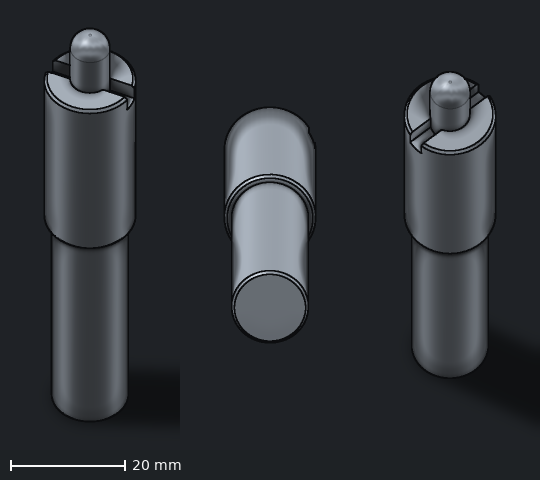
import cadquery as cq

total_height = 91.0
shank_diameter = 13.5
shank_height = 45.0
head_diameter = 16.0
pin_diameter = 7.0
pin_exposed_height = 11.0
tip_radius = 3.3
edge_chamfer = 0.5
slot_width = 3.0
slot_depth = 3.0

head_top = total_height - pin_exposed_height
head_height = head_top - shank_height
slot_floor = head_top - slot_depth
pin_length = total_height - slot_floor


def make_shank():
    """Slim lower cylinder with a chamfered bottom rim."""
    shank = cq.Workplane("XY").circle(shank_diameter / 2).extrude(shank_height)
    return shank.faces("<Z").edges().chamfer(edge_chamfer)


def make_head():
    """Wider upper cylinder with both rims chamfered."""
    head = cq.Workplane("XY").workplane(offset=shank_height).circle(head_diameter / 2).extrude(head_height)
    return head.faces("<Z or >Z").edges().chamfer(edge_chamfer)


def make_slot_cutter():
    """Screwdriver slot running across the whole head along X."""
    slot = cq.Workplane("XY").workplane(offset=slot_floor)
    return slot.rect(head_diameter, slot_width).extrude(slot_depth)


def make_pin_recess_cutter():
    """Blind round recess, level with the slot floor, that seats the pin."""
    recess = cq.Workplane("XY").workplane(offset=slot_floor)
    return recess.circle(pin_diameter / 2).extrude(slot_depth)


def make_sleeve():
    """Stepped sleeve: shank and head in one piece, slotted and recessed on top."""
    body = make_shank().union(make_head())
    return body.cut(make_slot_cutter()).cut(make_pin_recess_cutter())


def make_pin():
    """Round pin standing on the recess floor, with a rounded tip."""
    pin = cq.Workplane("XY").workplane(offset=slot_floor).circle(pin_diameter / 2).extrude(pin_length)
    return pin.faces(">Z").edges().fillet(tip_radius)


sleeve = make_sleeve()
pin = make_pin()

result = cq.Compound.makeCompound([sleeve.val(), pin.val()])